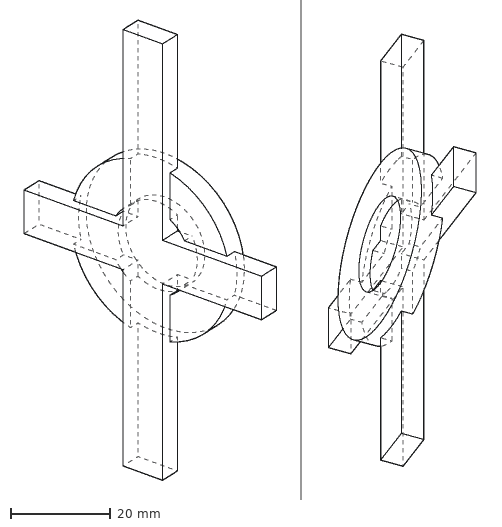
import cadquery as cq

cross_height = 100
cross_span = 60
bar_width = 10
bar_depth = 5

ring_outer_diameter = 40
ring_inner_diameter = 20
ring_depth = 5
ring_front = bar_depth / 2


def bar(length_x, length_z):
    """Flat bar centred in X and Z, running from Y = 0 to the bar depth."""
    return cq.Workplane("XY").box(length_x, bar_depth, length_z).translate((0, bar_depth / 2, 0))


def ring():
    """Flat ring around the Y axis."""
    return (
        cq.Workplane("XZ", origin=(0, ring_front, 0))
        .circle(ring_outer_diameter / 2)
        .circle(ring_inner_diameter / 2)
        .extrude(-ring_depth)
    )


cross = bar(bar_width, cross_height).union(bar(cross_span, bar_width))
result = cross.union(ring())